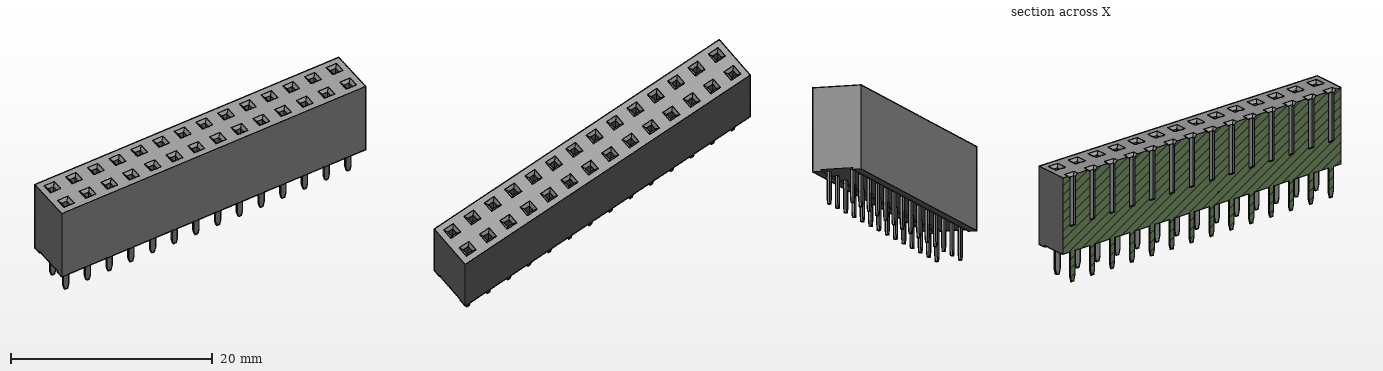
import cadquery as cq

rows = 14
length = 35.55
pitch = length / rows
width = 2 * pitch
total_height = 11.6
pin_drop = 3.1
housing_height = total_height - pin_drop

channel_width = 3.3
channel_depth = 0.18

mouth_size = 1.2
hole_size = 0.6
funnel_depth = (mouth_size - hole_size) / 2
socket_depth = 6.0

pin_thickness = 0.25
pin_width = 0.6
pin_spacing = 2.45
tip_width = 0.32
tip_length = 0.57
blade_in_socket = 0.5

socket_floor = housing_height - socket_depth
row_positions = [(row - (rows - 1) / 2) * pitch for row in range(rows)]


def grid(column_spacing):
    """Centre points of a two-column grid, one row per pitch."""
    return [(side * column_spacing / 2, y) for side in (-1, 1) for y in row_positions]


def make_housing():
    block = cq.Workplane("XY").box(width, length, housing_height, centered=(True, True, False))
    channel = cq.Workplane("XY").box(channel_width, length, channel_depth, centered=(True, True, False))
    return block.cut(channel)


def make_socket():
    """Square hole with a funnel mouth, as a cutting tool centred on the Z axis."""
    hole = (
        cq.Workplane("XY", origin=(0, 0, socket_floor))
        .rect(hole_size, hole_size)
        .extrude(socket_depth)
    )
    funnel = (
        cq.Workplane("XY", origin=(0, 0, housing_height - funnel_depth))
        .rect(hole_size, hole_size)
        .workplane(offset=funnel_depth)
        .rect(mouth_size, mouth_size)
        .loft(ruled=True)
    )
    return hole.union(funnel)


def make_pin():
    """Flat blade centred on the Z axis, narrowing in Y towards its lower tip."""
    top = socket_floor + blade_in_socket
    return (
        cq.Workplane("YZ")
        .moveTo(-tip_width / 2, -pin_drop)
        .lineTo(tip_width / 2, -pin_drop)
        .lineTo(pin_width / 2, tip_length - pin_drop)
        .lineTo(pin_width / 2, top)
        .lineTo(-pin_width / 2, top)
        .lineTo(-pin_width / 2, tip_length - pin_drop)
        .close()
        .extrude(pin_thickness / 2, both=True)
    )


def copies(shape, points):
    """Copies of a shape shifted to each of the given XY points."""
    solid = shape.val()
    shifted = [solid.translate(cq.Vector(x, y, 0)) for x, y in points]
    return cq.Workplane(cq.Compound.makeCompound(shifted))


sockets = copies(make_socket(), grid(pitch))
pins = copies(make_pin(), grid(pin_spacing))

result = make_housing().cut(sockets).union(pins)